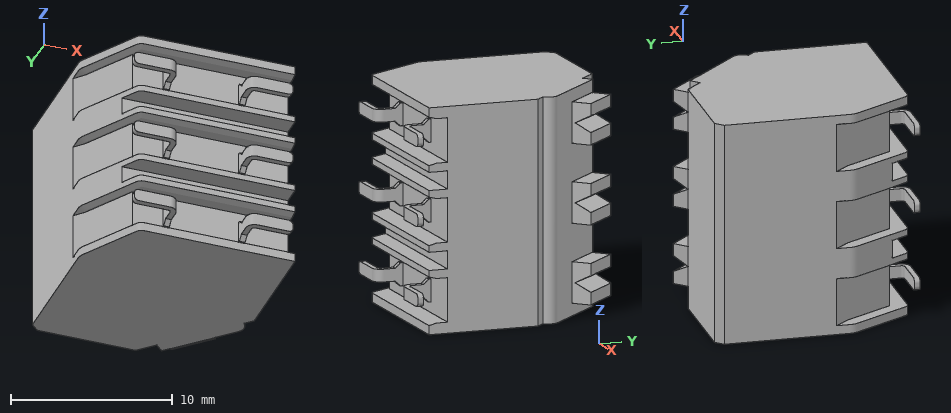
import cadquery as cq
import math


length = 12.7
depth = 12.9
height = 14.36
back_chamfer = 0.5
slant_top_y = 4.08
slant_front_x = 2.45
slant_top_radius = 1.0
slant_front_radius = 0.52

slope_sum = 19.89
land_start_x = 8.01
land_end_x = 12.19
land_height = 0.7

pole_count = 3
pitch = 5.05
pole_levels = [(i - (pole_count - 1) / 2) * pitch for i in range(pole_count)]

pocket_depth = 1.22
pocket_top_y = 5.23
pocket_opening = 3.07
rim_rise = 0.13
rim_run = 0.5
slot_width = 1.15

pin_thickness = 0.37
pin_width = 0.82
pin_root_width = 1.46
pin_flare_start_y = 0.72
pin_flare_end_y = 1.06
pin_foot_y = -0.6
pin_foot_length = 2.93
pin_tip_radius = 0.3
bend_inner_radius = 0.2
pin_outer_tips = (1.87, 12.35)

button_offset = 0.09
button_length = 3.0
button_height = 1.26
button_width = 2.63
groove_width = 1.03
groove_depth = 1.06

diagonal = math.sqrt(0.5)
end_wall = (height - (pole_count - 1) * pitch - pocket_opening) / 2
land_step = land_height * diagonal
land_corner = (land_start_x + land_step, slope_sum - land_start_x + land_step)


def outline_solid(bottom, top):
    """Full housing outline between two Z levels."""
    arc_centre = (land_end_x - land_step, slope_sum - land_end_x + land_step)
    land_arc_start = (arc_centre[0] + land_step, arc_centre[1] + land_step)
    land_arc_middle = (arc_centre[0] + land_height, arc_centre[1])
    solid = (
        cq.Workplane("XY", origin=(0, 0, bottom))
        .moveTo(slant_front_x, 0)
        .lineTo(length, 0)
        .lineTo(length, slope_sum - length)
        .lineTo(land_end_x, slope_sum - land_end_x)
        .threePointArc(land_arc_middle, land_arc_start)
        .lineTo(*land_corner)
        .lineTo(land_start_x, slope_sum - land_start_x)
        .lineTo(slope_sum - depth, depth)
        .lineTo(back_chamfer, depth)
        .lineTo(0, depth - back_chamfer)
        .lineTo(0, slant_top_y)
        .close()
        .extrude(top - bottom)
    )
    middle = (bottom + top) / 2
    upper_corner = cq.selectors.NearestToPointSelector((0, slant_top_y, middle))
    lower_corner = cq.selectors.NearestToPointSelector((slant_front_x, 0, middle))
    solid = solid.edges(upper_corner).fillet(slant_top_radius)
    return solid.edges(lower_corner).fillet(slant_front_radius)


def make_core():
    """Housing set back behind the pockets, over the full height."""
    slant_run = slant_front_x / slant_top_y
    core_front_x = (pocket_top_y - pocket_depth) * slant_run
    set_back = (
        cq.Workplane("XY", origin=(0, 0, -height / 2))
        .polyline([
            (0, pocket_top_y),
            (core_front_x, pocket_depth),
            (length, pocket_depth),
            (length, depth),
            (0, depth),
        ])
        .close()
        .extrude(height)
    )
    return outline_solid(-height / 2, height / 2).intersect(set_back)


def make_wall(bottom, top):
    """Wall below a pocket, its upper rim bevelled along the board, slant and X = 0 sides."""
    wall = outline_solid(bottom, top)
    rim = cq.selectors.BoxSelector(
        (-rim_run, -rim_run, bottom),
        (slope_sum / 2, slope_sum / 2, top + rim_rise),
    )
    return wall.faces(">Z").edges(rim).chamfer(rim_rise, rim_run)


def make_housing():
    rim_top = -pocket_opening / 2 + rim_rise
    end_bottom = -pocket_opening / 2 - end_wall
    middle_bottom = -pitch / 2
    lower_end = make_wall(end_bottom, rim_top).translate((0, 0, pole_levels[0]))
    housing = make_core().union(lower_end).union(lower_end.mirror("XY"))

    upper_half = make_wall(middle_bottom, rim_top).translate((0, 0, pitch / 2))
    lower_half = upper_half.mirror("XY")
    slot = cq.Workplane("XY").box(length, pocket_depth, slot_width, centered=(False, False, True))
    middle_wall = upper_half.union(lower_half)
    for lower_pole in pole_levels[:-1]:
        middle = (0, 0, lower_pole + pitch / 2)
        housing = housing.union(middle_wall.translate(middle)).cut(slot.translate(middle))
    return housing


def make_pin():
    """Pin with its foot pointing to -X and its tip at X = 0, centred on Z = 0."""
    foot_top = pin_foot_y + pin_thickness
    bend_radius = bend_inner_radius + pin_thickness
    bend_x = pin_foot_length - bend_radius
    bend_y = pin_foot_y + bend_radius
    strip = (
        cq.Workplane("XY", origin=(0, 0, -pin_root_width / 2))
        .moveTo(0, pin_foot_y)
        .lineTo(bend_x, pin_foot_y)
        .radiusArc((pin_foot_length, bend_y), -bend_radius)
        .lineTo(pin_foot_length, pocket_depth)
        .lineTo(pin_foot_length - pin_thickness, pocket_depth)
        .lineTo(pin_foot_length - pin_thickness, bend_y)
        .radiusArc((bend_x, foot_top), bend_inner_radius)
        .lineTo(0, foot_top)
        .close()
        .extrude(pin_root_width)
    )
    half = pin_width / 2
    half_root = pin_root_width / 2
    width_profile = (
        cq.Workplane("YZ")
        .polyline([
            (pin_foot_y, -half),
            (pin_flare_start_y, -half),
            (pin_flare_end_y, -half_root),
            (pocket_depth, -half_root),
            (pocket_depth, half_root),
            (pin_flare_end_y, half_root),
            (pin_flare_start_y, half),
            (pin_foot_y, half),
        ])
        .close()
        .extrude(pin_foot_length)
    )
    pin = strip.intersect(width_profile)
    return pin.faces("<X").edges("|Y").fillet(pin_tip_radius)


def make_button():
    """Push button on the land, with a V groove along its top, centred on Z = 0."""
    foot = cq.Vector(
        land_corner[0] + button_offset * diagonal,
        land_corner[1] - button_offset * diagonal,
        0,
    )
    end_plane = cq.Plane(origin=foot, xDir=(0, 0, -1), normal=(1, -1, 0))
    return (
        cq.Workplane(end_plane)
        .polyline([
            (-button_width / 2, 0),
            (button_width / 2, 0),
            (button_width / 2, button_height),
            (groove_width / 2, button_height),
            (0, button_height - groove_depth),
            (-groove_width / 2, button_height),
            (-button_width / 2, button_height),
        ])
        .close()
        .extrude(button_length)
    )


result = make_housing()
left_pin = make_pin().translate((pin_outer_tips[0], 0, 0))
right_pin = make_pin().mirror("YZ").translate((pin_outer_tips[1], 0, 0))
button = make_button()
for level in pole_levels:
    for feature in (left_pin, right_pin, button):
        result = result.union(feature.translate((0, 0, level)))